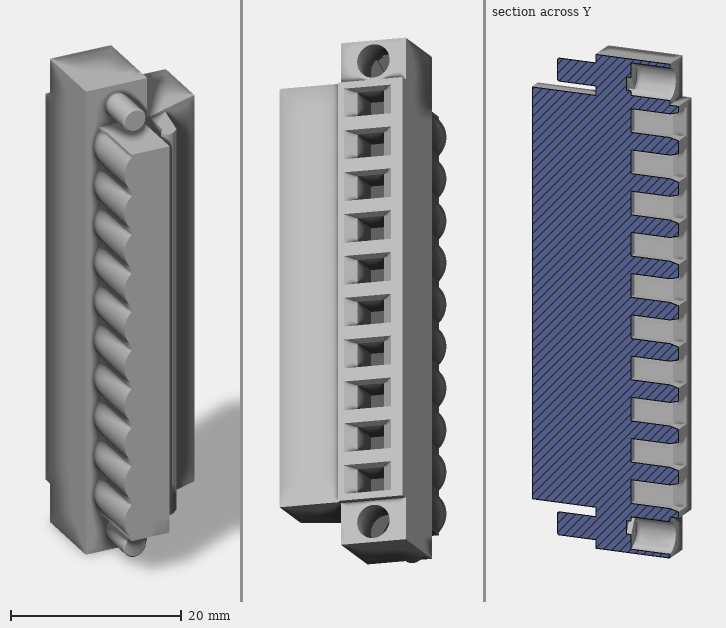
import cadquery as cq


total_length = 60.95
ear_length = 5.05
pole_count = 10
row_length = total_length - 2 * ear_length
pitch = row_length / pole_count

housing_width = 10.65
housing_height = 8.05
total_height = 15.5
ear_setback = 1.1
back_setback = 0.55
back_top_x = 8.1
slope_foot_y = 8.65

latch_end_inset = 0.35
latch_root_x = 8.55
latch_root_y = 11.05
latch_bottom_y = 8.5
latch_knee = (14.5, 10.0)
latch_nose_top = (15.25, 9.15)
latch_nose_side = (15.35, 8.65)
latch_nose_bottom = (15.25, 8.15)
latch_tip = (14.6, 7.85)
latch_notch_x = 13.85

socket_end_x = 18.85
socket_top_y = 6.95
socket_flat_y = 1.95
socket_crown_y = 1.05
socket_round_width = 4.3
gap_ramp_length = 1.45
gap_ramp_rise = 0.25

opening_center_y = 4.4
opening_size = (5.85, 3.5)
wire_hole_size = (3.3, 2.85)
funnel_depth = 1.15
wire_hole_end_x = 6.1

screw_y = 4.0
screw_from_end = 2.5
screw_hole_diameter = 4.0
screw_head_x = 6.1
screw_slot_width = 0.8
screw_slot_depth = 0.6
screw_slot_tilt = 30.0
shank_diameter = 3.0
shank_end_x = 15.6
shank_chamfer = 0.2

row_bottom = ear_length
pole_centers = [row_bottom + (i + 0.5) * pitch for i in range(pole_count)]


def box(x_range, y_range, z_range):
    """Box given by its limits along each axis."""
    sizes = [high - low for low, high in (x_range, y_range, z_range)]
    corner = (x_range[0], y_range[0], z_range[0])
    return cq.Workplane("XY").box(*sizes, centered=False).translate(corner)


def row_plane():
    """XY plane at the lower end of the row of poles."""
    return cq.Workplane("XY", origin=(0, 0, row_bottom))


def make_housing():
    ears = box((ear_setback, housing_width), (0, housing_height), (0, total_length))
    row = (
        row_plane()
        .polyline([
            (0, 0),
            (housing_width, 0),
            (housing_width, slope_foot_y),
            (back_top_x, total_height),
            (back_setback, total_height),
            (back_setback, housing_height),
            (0, housing_height),
        ])
        .close()
        .extrude(row_length)
    )
    return ears.union(row)


def make_latch():
    return (
        row_plane()
        .workplane(offset=latch_end_inset)
        .moveTo(latch_root_x, latch_bottom_y)
        .lineTo(latch_root_x, latch_root_y)
        .lineTo(*latch_knee)
        .lineTo(*latch_nose_top)
        .threePointArc(latch_nose_side, latch_nose_bottom)
        .lineTo(*latch_tip)
        .lineTo(latch_notch_x, latch_bottom_y)
        .close()
        .extrude(row_length - 2 * latch_end_inset)
    )


def make_sockets():
    """Full-length bar with one rounded crown per pole and ramps in the gaps between crowns."""
    row_top = row_bottom + row_length
    start_x = housing_width / 2
    sockets = box((start_x, socket_end_x), (socket_flat_y, socket_top_y), (row_bottom, row_top))

    for z in pole_centers:
        crown = (
            cq.Workplane("YZ", origin=(start_x, 0, 0))
            .moveTo(socket_flat_y, z - socket_round_width / 2)
            .threePointArc((socket_crown_y, z), (socket_flat_y, z + socket_round_width / 2))
            .close()
            .extrude(socket_end_x - start_x)
        )
        sockets = sockets.union(crown)

    ramps = (
        row_plane()
        .polyline([
            (housing_width, socket_flat_y),
            (housing_width + gap_ramp_length, socket_flat_y),
            (housing_width, socket_flat_y - gap_ramp_rise),
        ])
        .close()
        .extrude(row_length)
    )
    return sockets.union(ramps)


def make_wire_opening(z):
    """Rectangular funnel leading into a straight blind hole."""
    funnel = (
        cq.Workplane("YZ", origin=(0, opening_center_y, z))
        .rect(*opening_size)
        .workplane(offset=funnel_depth)
        .rect(*wire_hole_size)
        .loft(ruled=True)
    )
    hole = (
        cq.Workplane("YZ", origin=(funnel_depth, opening_center_y, z))
        .rect(*wire_hole_size)
        .extrude(wire_hole_end_x - funnel_depth)
    )
    return funnel.union(hole)


def make_screw_recess(z, slot_tilt):
    """Access hole down to the screw head, with the driver slot in its floor."""
    hole = (
        cq.Workplane("YZ", origin=(0, screw_y, z))
        .circle(screw_hole_diameter / 2)
        .extrude(screw_head_x)
    )
    head = (
        cq.Workplane("YZ", origin=(screw_head_x, screw_y, z))
        .circle(screw_hole_diameter / 2)
        .extrude(screw_slot_depth)
    )
    slot = (
        cq.Workplane("YZ", origin=(screw_head_x, screw_y, z))
        .transformed(rotate=(0, 0, slot_tilt))
        .rect(screw_slot_width, screw_hole_diameter)
        .extrude(screw_slot_depth)
    )
    return hole.union(slot.intersect(head))


def make_shank(z):
    start_x = housing_width - shank_diameter / 2
    return (
        cq.Workplane("YZ", origin=(start_x, screw_y, z))
        .circle(shank_diameter / 2)
        .extrude(shank_end_x - start_x)
        .faces(">X")
        .chamfer(shank_chamfer)
    )


result = make_housing().union(make_latch()).union(make_sockets())

for pole_z in pole_centers:
    result = result.cut(make_wire_opening(pole_z))

lower_screw_z = screw_from_end
upper_screw_z = total_length - screw_from_end
for screw_z, tilt in ((lower_screw_z, screw_slot_tilt), (upper_screw_z, -screw_slot_tilt)):
    result = result.cut(make_screw_recess(screw_z, tilt))
    result = result.union(make_shank(screw_z))